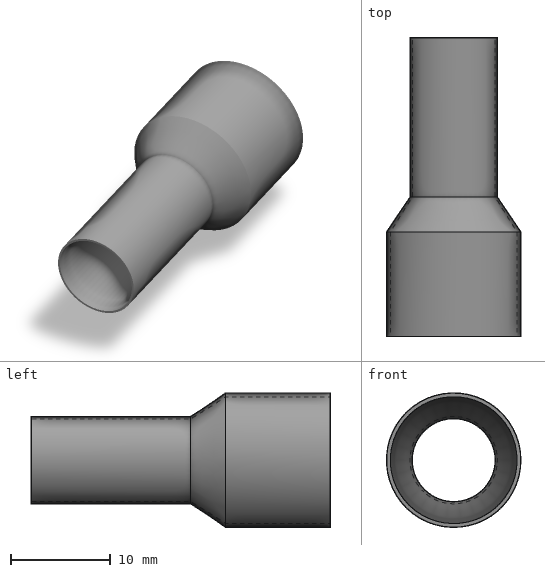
import cadquery as cq

total_length = 30.0
collar_length = 10.5
tube_length = 16.0
tube_start = total_length - tube_length

collar_outer_diameter = 13.5
collar_inner_diameter = 12.72
tube_outer_diameter = 8.75
tube_inner_diameter = 8.3


def stepped_body(collar_diameter, tube_diameter):
    """Solid of revolution about Y: collar, cone, then tube."""
    collar_radius = collar_diameter / 2
    tube_radius = tube_diameter / 2
    half_profile = (
        cq.Workplane("XY")
        .lineTo(collar_radius, 0)
        .lineTo(collar_radius, collar_length)
        .lineTo(tube_radius, tube_start)
        .lineTo(tube_radius, total_length)
        .lineTo(0, total_length)
        .close()
    )
    return half_profile.revolve(360, (0, 0, 0), (0, 1, 0))


outer_body = stepped_body(collar_outer_diameter, tube_outer_diameter)
bore = stepped_body(collar_inner_diameter, tube_inner_diameter)
result = outer_body.cut(bore)